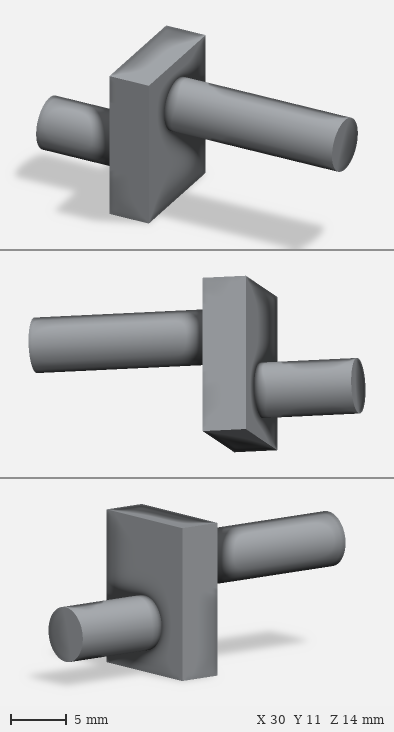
import cadquery as cq

plate_thickness = 4.0
plate_width = 11.0
plate_height = 14.0
pin_diameter = 5.0
short_pin_length = 9.0
long_pin_length = 17.0

short_pin_axis_z = -2.5
long_pin_axis_z = 2.6


def make_plate():
    """Crank plate, with its -X face at X = 0 and centred on Y and Z."""
    return cq.Workplane("XY").box(
        plate_thickness, plate_width, plate_height, centered=(False, True, True)
    )


def make_pin(start_x, axis_z, length):
    """Round pin along +X, starting at start_x on the axis height axis_z."""
    return (
        cq.Workplane("YZ", origin=(start_x, 0, axis_z))
        .circle(pin_diameter / 2)
        .extrude(length)
    )


plate = make_plate()

short_pin = make_pin(-short_pin_length, short_pin_axis_z, short_pin_length)

long_pin = make_pin(plate_thickness, long_pin_axis_z, long_pin_length)

result = cq.Compound.makeCompound([plate.val(), short_pin.val(), long_pin.val()])